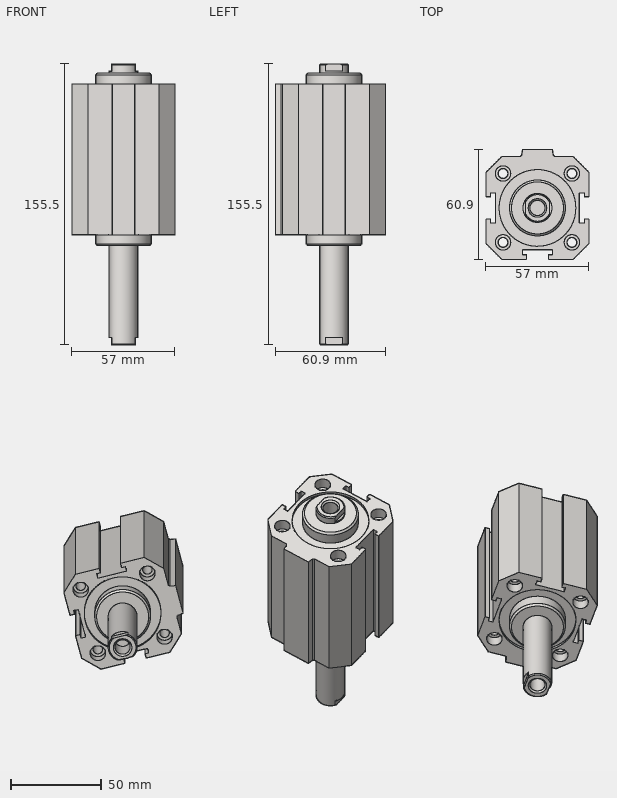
import cadquery as cq

housing_width = 57.0
housing_height = 83.5
corner_chamfer = 8.9
half_width = housing_width / 2
housing_middle = housing_height / 2

rail_height = 3.9
rail_top_width = 16.6
rail_foot_width = 17.5
rail_foot_flare = 0.8

slot_mouth_width = 12.1
slot_mouth_depth = 2.6
slot_mouth_chamfer = 0.2
slot_width = 16.5
slot_depth = 5.3
slot_face_angles = (0, 180, 270)

mount_spacing = 38.1
mount_diameter = 5.3
counterbore_diameter = 8.5
counterbore_depth = 7.0

recess_diameter = 42.5
recess_depth = 1.7
boss_diameter = 31.0
boss_height = 6.0
boss_chamfer = 1.1

rod_diameter = 16.0
rod_length = 155.5
rod_top_reach = 5.0
rod_top = housing_height + boss_height + rod_top_reach
rod_bottom = rod_top - rod_length
rod_middle = (rod_top + rod_bottom) / 2
rod_chamfer = 0.6
flats_width = 13.0
flats_height = 4.0

end_hole_diameter = 8.4
end_hole_mouth_diameter = 10.3
end_hole_depth = 15.0


def with_mirrored_end(end_shape, middle):
    """Return a shape for the upper end together with its mirror image at the lower end."""
    return end_shape.union(end_shape.mirror("XY", (0, 0, middle)))


def make_rail():
    half_top = rail_top_width / 2
    half_foot = rail_foot_width / 2
    half_base = half_foot + rail_foot_flare
    rail_top = half_width + rail_height
    flare_top = half_width + rail_foot_flare
    outline = [
        (-half_base, half_width),
        (-half_foot, flare_top),
        (-half_top, rail_top),
        (half_top, rail_top),
        (half_foot, flare_top),
        (half_base, half_width),
        (half_base, 0),
        (-half_base, 0),
    ]
    return cq.Workplane("XY").polyline(outline).close().extrude(housing_height)


def make_slot():
    """Return the space of the T-slot in the +X face, with chamfered mouth edges."""
    half_mouth = slot_mouth_width / 2
    half_slot = slot_width / 2
    lip_inner = half_width - slot_mouth_depth
    half_outline = [
        (half_width - slot_depth, half_slot),
        (lip_inner, half_slot),
        (lip_inner, half_mouth),
        (half_width - slot_mouth_chamfer, half_mouth),
        (half_width, half_mouth + slot_mouth_chamfer),
    ]
    other_half = [(x, -y) for x, y in reversed(half_outline)]
    return cq.Workplane("XY").polyline(half_outline + other_half).close().extrude(housing_height)


def make_mounting_holes():
    def at_corners(base_z):
        plane = cq.Workplane("XY").workplane(offset=base_z)
        return plane.rect(mount_spacing, mount_spacing, forConstruction=True).vertices()

    through = at_corners(0).circle(mount_diameter / 2).extrude(housing_height)
    counterbores = (
        at_corners(housing_height - counterbore_depth)
        .circle(counterbore_diameter / 2)
        .extrude(counterbore_depth)
    )
    return through.union(with_mirrored_end(counterbores, housing_middle))


def make_recess():
    floor = cq.Workplane("XY").workplane(offset=housing_height - recess_depth)
    return floor.circle(recess_diameter / 2).extrude(recess_depth)


def make_boss():
    base = cq.Workplane("XY").workplane(offset=housing_height - recess_depth)
    boss = base.circle(boss_diameter / 2).extrude(recess_depth + boss_height)
    return boss.faces(">Z").chamfer(boss_chamfer)


def make_rod_blank():
    base = cq.Workplane("XY").workplane(offset=rod_bottom)
    return base.circle(rod_diameter / 2).extrude(rod_length)


def make_housing():
    body = cq.Workplane("XY").rect(housing_width, housing_width).extrude(housing_height)
    body = body.edges("|Z").chamfer(corner_chamfer).union(make_rail())
    for angle in slot_face_angles:
        body = body.cut(make_slot().rotate((0, 0, 0), (0, 0, 1), angle))
    body = body.cut(make_mounting_holes())
    body = body.cut(with_mirrored_end(make_recess(), housing_middle))
    body = body.union(with_mirrored_end(make_boss(), housing_middle))
    return body.cut(make_rod_blank())


def make_flat_cuts():
    """Return the material beside the two wrench flats at the upper rod end."""
    base = cq.Workplane("XY").workplane(offset=rod_top - flats_height)
    outer = base.circle(rod_diameter).extrude(flats_height)
    kept = base.rect(flats_width, 2 * rod_diameter).extrude(flats_height)
    return outer.cut(kept)


def make_end_hole():
    """Return the space of the blind hole with a chamfered mouth at the upper rod end."""
    mouth_chamfer = (end_hole_mouth_diameter - end_hole_diameter) / 2
    outline = [
        (0, rod_top),
        (end_hole_mouth_diameter / 2, rod_top),
        (end_hole_diameter / 2, rod_top - mouth_chamfer),
        (end_hole_diameter / 2, rod_top - end_hole_depth),
        (0, rod_top - end_hole_depth),
    ]
    return cq.Workplane("XZ").polyline(outline).close().revolve(360, (0, 0, 0), (0, 1, 0))


def make_rod():
    rod = make_rod_blank().faces("<Z or >Z").chamfer(rod_chamfer)
    rod = rod.cut(with_mirrored_end(make_flat_cuts(), rod_middle))
    return rod.cut(with_mirrored_end(make_end_hole(), rod_middle))


housing = make_housing()
rod = make_rod()
result = cq.Compound.makeCompound([housing.val(), rod.val()])